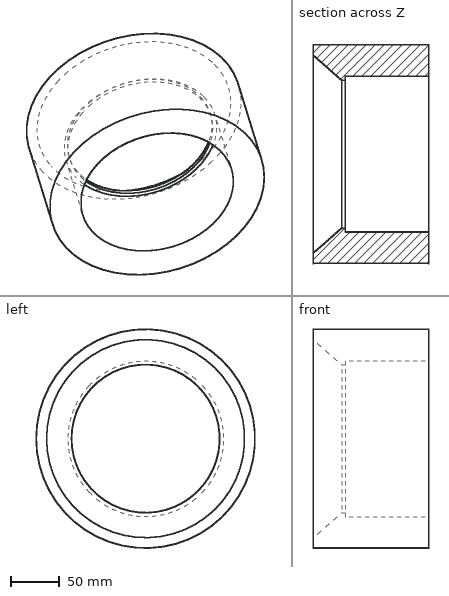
import cadquery as cq

length = 119.0
outer_diameter = 225.0

mouth_diameter = 203.5
lip_diameter = 151.9
bore_diameter = 160.0
mouth_depth = 29.2
lip_length = 4.0

mouth_face = -length / 2
lip_start = mouth_face + mouth_depth
lip_end = lip_start + lip_length
far_face = length / 2

section = [
    (mouth_face, outer_diameter / 2),
    (mouth_face, mouth_diameter / 2),
    (lip_start, lip_diameter / 2),
    (lip_end, lip_diameter / 2),
    (lip_end, bore_diameter / 2),
    (far_face, bore_diameter / 2),
    (far_face, outer_diameter / 2),
]

result = cq.Workplane("XY").polyline(section).close().revolve(360, (0, 0, 0), (1, 0, 0))